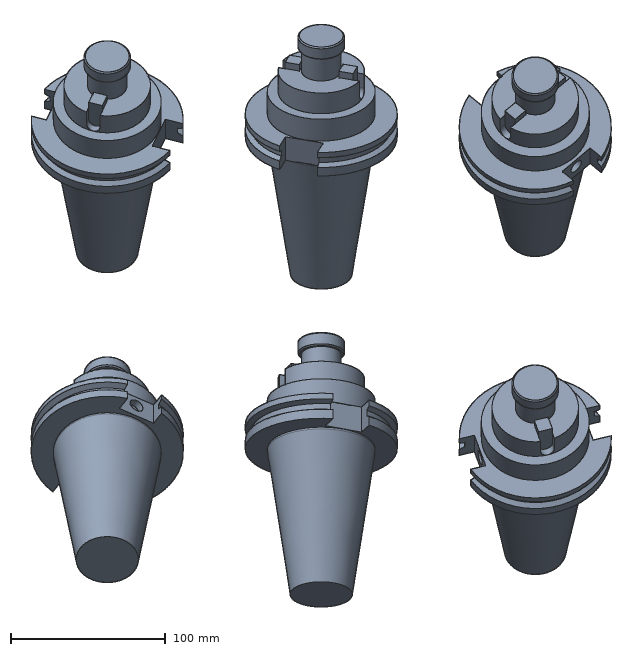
import cadquery as cq

taper_height = 101.6
flange_bottom = 102.9
flange_top = 120.6
collar_top = 137.1
nose_top = 152.7
pilot_top = 170.0
overall_height = 179.2

gauge_diameter = 69.9
taper_ratio = 7 / 24
flange_diameter = 98.4
nose_diameter = 56.0
pilot_diameter = 25.6

groove_center = 113.0
groove_root_width = 4.0
groove_mouth_width = 7.3
groove_root_diameter = 91.2

notch_width = 25.6
left_notch_distance = 37.3
right_notch_distance = 35.3
notch_hole_diameter = 9.5
notch_hole_depth = 5.0

key_width = 9.3
key_inner = 13.5
key_outer = 23.1
key_top = 157.5
slot_bottom = 137.3

head_diameter = 30.1
head_chamfer = 0.9


def make_turned_body():
    """Revolve the taper, grooved flange, collar, nose and pilot."""
    gauge_radius = gauge_diameter / 2
    small_end_radius = (gauge_diameter - taper_height * taper_ratio) / 2
    flange_radius = flange_diameter / 2
    root_radius = groove_root_diameter / 2
    nose_radius = nose_diameter / 2
    pilot_radius = pilot_diameter / 2
    profile = [
        (0, 0),
        (small_end_radius, 0),
        (gauge_radius, taper_height),
        (gauge_radius, flange_bottom),
        (flange_radius, flange_bottom),
        (flange_radius, groove_center - groove_mouth_width / 2),
        (root_radius, groove_center - groove_root_width / 2),
        (root_radius, groove_center + groove_root_width / 2),
        (flange_radius, groove_center + groove_mouth_width / 2),
        (flange_radius, flange_top),
        (gauge_radius, flange_top),
        (gauge_radius, collar_top),
        (nose_radius, collar_top),
        (nose_radius, nose_top),
        (pilot_radius, nose_top),
        (pilot_radius, pilot_top),
        (0, pilot_top),
    ]
    return cq.Workplane("XZ").polyline(profile).close().revolve(360, (0, 0), (0, 1))


def make_notch(side, distance):
    """Block that cuts a drive notch; side is -1 or +1 along X."""
    length = flange_diameter / 2
    return (
        cq.Workplane("XY", origin=(side * (distance + length / 2), 0, flange_bottom))
        .rect(length, notch_width)
        .extrude(flange_top - flange_bottom)
    )


def make_notch_hole():
    """Blind round hole running inward from the floor of the -X notch."""
    return (
        cq.Workplane("YZ", origin=(-left_notch_distance, 0, groove_center))
        .circle(notch_hole_diameter / 2)
        .extrude(notch_hole_depth)
    )


def make_key_shape(side, outer, top):
    """Round-bottomed bar from the key's inner face to outer; side is -1 or +1 along Y."""
    half_width = key_width / 2
    arc_center = slot_bottom + half_width
    return (
        cq.Workplane("XZ", origin=(0, side * key_inner, 0))
        .moveTo(-half_width, top)
        .lineTo(-half_width, arc_center)
        .threePointArc((0, slot_bottom), (half_width, arc_center))
        .lineTo(half_width, top)
        .close()
        .extrude(-side * (outer - key_inner))
    )


def make_holder():
    body = make_turned_body()
    for side, distance in ((-1, left_notch_distance), (1, right_notch_distance)):
        body = body.cut(make_notch(side, distance))
    body = body.cut(make_notch_hole())
    for side in (-1, 1):
        body = body.cut(make_key_shape(side, nose_diameter / 2, nose_top))
    return body


def make_screw_head():
    return (
        cq.Workplane("XY", origin=(0, 0, pilot_top))
        .circle(head_diameter / 2)
        .extrude(overall_height - pilot_top)
        .faces("<Z or >Z")
        .chamfer(head_chamfer)
    )


holder = make_holder()
screw_head = make_screw_head()
keys = [make_key_shape(side, key_outer, key_top) for side in (-1, 1)]

result = cq.Compound.makeCompound([holder.val(), screw_head.val(), *[key.val() for key in keys]])